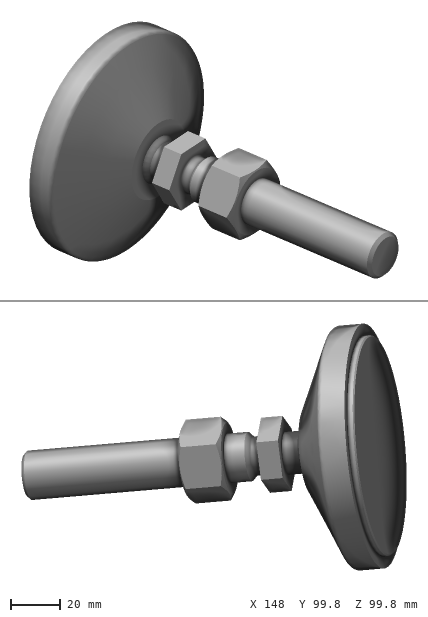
import cadquery as cq
import math

total_length = 148.0

pad_radius = 45.0
pad_height = 2.8
pad_chamfer = 0.6
rim_radius = 49.9
cone_start = 13.9
rim_fillet = 2.0
foot_height = 30.0
foot_top_radius = 17.5

ball_center = 24.5
ball_radius = 11.8
neck_radius = 8.7
stud_hex_start = 39.0
stud_hex_length = 9.0
stud_hex_flats = 27.0
undercut_radius = 8.0
undercut_fillet = 0.9
shank_start = 54.5
shank_radius = 10.0
shank_shoulder_angle = 45.0
end_chamfer = 1.5
stud_hex_end = stud_hex_start + stud_hex_length

shoulder_slope = math.radians(shank_shoulder_angle)
shoulder_start_radius = undercut_radius + undercut_fillet * (1 - math.cos(shoulder_slope))
shoulder_start = shank_start - (shank_radius - shoulder_start_radius) / math.tan(shoulder_slope)
undercut_end = shoulder_start - undercut_fillet * math.sin(shoulder_slope)

nut_start = 63.0
nut_length = 17.9
nut_flats = 30.0
nut_face_radius = 14.5
nut_chamfer_angle = 30.0


def revolve_about_x(profile):
    """Revolve a closed (x, radius) profile around the X axis."""
    return profile.close().revolve(360, (0, 0, 0), (1, 0, 0))


def hexagon_corner_radius(flats):
    return flats / math.sqrt(3)


def hexagon_prism(start, length, flats):
    """Hexagonal prism along X, with corners on +Y and -Y and flats on +Z and -Z."""
    corner_diameter = 2 * hexagon_corner_radius(flats)
    return cq.Workplane("YZ", origin=(start, 0, 0)).polygon(6, corner_diameter).extrude(length)


def make_ball():
    """Ball end of the stud, which is also the shape of the socket in the foot."""
    return cq.Workplane("XY", origin=(ball_center, 0, 0)).sphere(ball_radius)


def make_foot():
    foot = revolve_about_x(
        cq.Workplane("XY")
        .moveTo(0, 0)
        .lineTo(0, pad_radius - pad_chamfer)
        .lineTo(pad_chamfer, pad_radius)
        .lineTo(pad_height, pad_radius)
        .lineTo(pad_height, rim_radius)
        .lineTo(cone_start, rim_radius)
        .lineTo(foot_height, foot_top_radius)
        .lineTo(foot_height, 0)
    )
    largest_circles = foot.edges(cq.selectors.RadiusNthSelector(-1))
    return largest_circles.edges(">X").fillet(rim_fillet).cut(make_ball())


def make_stud():
    turned = revolve_about_x(
        cq.Workplane("XY")
        .moveTo(ball_center, 0)
        .lineTo(ball_center, neck_radius)
        .lineTo(stud_hex_start, neck_radius)
        .lineTo(stud_hex_end, undercut_radius + undercut_fillet)
        .radiusArc((stud_hex_end + undercut_fillet, undercut_radius), -undercut_fillet)
        .lineTo(undercut_end, undercut_radius)
        .radiusArc((shoulder_start, shoulder_start_radius), -undercut_fillet)
        .lineTo(shank_start, shank_radius)
        .lineTo(total_length - end_chamfer, shank_radius)
        .lineTo(total_length, shank_radius - end_chamfer)
        .lineTo(total_length, 0)
    )
    return turned.union(make_ball()).union(hexagon_prism(stud_hex_start, stud_hex_length, stud_hex_flats))


def make_nut():
    nut_end = nut_start + nut_length
    corner_radius = hexagon_corner_radius(nut_flats)
    chamfer_length = (corner_radius - nut_face_radius) * math.tan(math.radians(nut_chamfer_angle))
    chamfer_envelope = revolve_about_x(
        cq.Workplane("XY")
        .moveTo(nut_start, 0)
        .lineTo(nut_start, nut_face_radius)
        .lineTo(nut_start + chamfer_length, corner_radius)
        .lineTo(nut_end - chamfer_length, corner_radius)
        .lineTo(nut_end, nut_face_radius)
        .lineTo(nut_end, 0)
    )
    bore = cq.Workplane("YZ", origin=(nut_start, 0, 0)).circle(shank_radius).extrude(nut_length)
    return hexagon_prism(nut_start, nut_length, nut_flats).intersect(chamfer_envelope).cut(bore)


foot = make_foot()
stud = make_stud()
nut = make_nut()

result = cq.Compound.makeCompound([foot.val(), stud.val(), nut.val()])